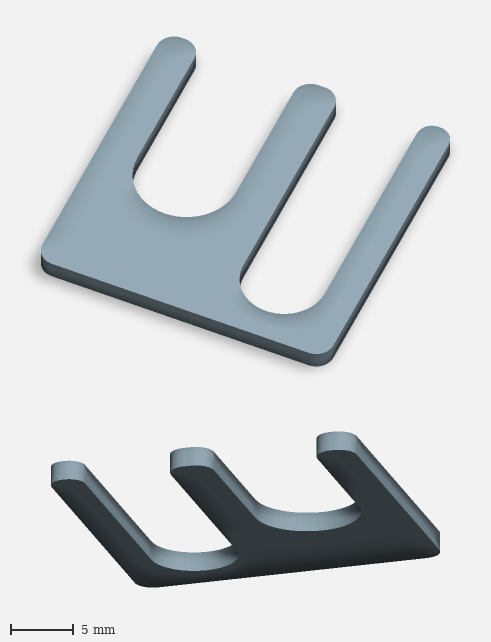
import cadquery as cq

side = 25.4
thickness = 1.57
corner_radius = 1.5

wide_slot_x = 7.6
wide_slot_radius = 4.32
wide_slot_floor = 8.38
narrow_slot_x = 19.05
narrow_slot_radius = 3.55
narrow_slot_floor = 2.55

right_tip_radius = 1.32


def open_slot(center_x, radius, floor_y):
    """Cutter for a round-bottomed slot running out through the +Y edge."""
    arc_center_y = floor_y + radius
    return (
        cq.Workplane("XY")
        .moveTo(center_x - radius, side)
        .lineTo(center_x - radius, arc_center_y)
        .threePointArc((center_x, floor_y), (center_x + radius, arc_center_y))
        .lineTo(center_x + radius, side)
        .close()
        .extrude(thickness)
    )


def vertical_edges_between(x_min, x_max, y_center):
    """Select the vertical edges near y_center whose X lies in the range."""
    margin = 0.25
    return cq.selectors.BoxSelector(
        (x_min - margin, y_center - margin, -margin),
        (x_max + margin, y_center + margin, thickness + margin),
    )


plate = cq.Workplane("XY").box(side, side, thickness, centered=False)
plate = plate.cut(open_slot(wide_slot_x, wide_slot_radius, wide_slot_floor))
plate = plate.cut(open_slot(narrow_slot_x, narrow_slot_radius, narrow_slot_floor))

middle_finger_right = narrow_slot_x - narrow_slot_radius
right_finger_left = narrow_slot_x + narrow_slot_radius
for x_min, x_max, y_center, radius in (
    (0, side, 0, corner_radius),
    (0, middle_finger_right, side, corner_radius),
    (right_finger_left, side, side, right_tip_radius),
):
    corners = vertical_edges_between(x_min, x_max, y_center)
    plate = plate.edges("|Z").edges(corners).fillet(radius)

result = plate.translate((-side / 2, -side / 2, 0))